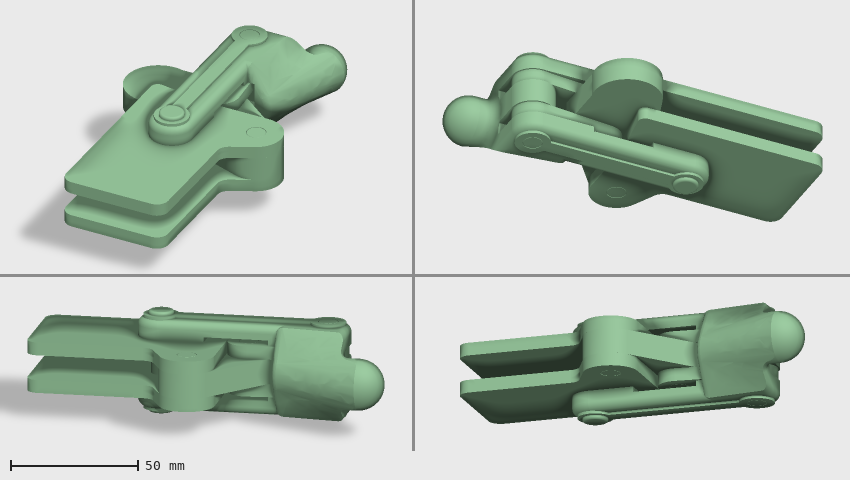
import cadquery as cq
import math


arm_half = 5.0
plate_thickness = 5.2
stack_half = arm_half + plate_thickness
handle_half = 18.0
pad_half = 19.0
head_half = 20.5

base_pivot = (0.0, 0.0)
handle_pivot = (0.0, 66.8)
arm_pivot = (29.0, 16.0)
link_pivot = (2.8, 35.6)

pin_radius = 4.0
pin_chamfer = 0.3
head_radius = 5.1
head_fillet = 1.0

base_left = -23.4
base_right = 21.6
base_bottom = -50.2
base_left_top = 31.2
base_top_slope = math.radians(9.3)
base_corner_radius = 5.0
base_top_corner_radius = 3.0
lobe_radius = 11.0
lobe_slope = math.radians(25.7)

nose_center = (-25.4, 38.0)
nose_radius = 14.0
arm_top = 51.5
arm_shoulder_x = 1.3

link_radius = 8.4

handle_radius = 9.1
handle_fillet = 3.0
pad_radius = 7.1
rib_width = 6.1
recess_half = 12.4
recess_bottom = 18.6
recess_top = 44.6
inner_wall_x = 12.0

handle_top = handle_pivot[1] + handle_radius
root_bottom = (9.4, 48.5)
root_top = (12.8, handle_top)
ball_center = (23.0, 83.6)
ball_radius = 10.2
grip_lean = 0.418
grip_bottom = 47.6
heel_radius = 3.0
flare_radius = 3.0


def tangent_point(center, radius, angle):
    """Point of a circle in the direction of the given angle."""
    return (center[0] + radius * math.cos(angle), center[1] + radius * math.sin(angle))


def layer(bottom, top):
    """Workplane at height bottom, with the height to extrude up to top."""
    return cq.Workplane("XY", origin=(0, 0, bottom)), top - bottom


def cylinder(center, radius, half):
    """Upright cylinder symmetric about Z = 0."""
    plane, height = layer(-half, half)
    return plane.center(*center).circle(radius).extrude(height)


def box(x_range, y_range, z_range):
    """Box given by its limits along the three axes."""
    plane, height = layer(*z_range)
    width = x_range[1] - x_range[0]
    length = y_range[1] - y_range[0]
    corner = plane.moveTo(x_range[0], y_range[0])
    return corner.rect(width, length, centered=False).extrude(height)


def pin_hole(shape, center):
    """Drill a pin hole through the whole shape."""
    return shape.cut(cylinder(center, pin_radius, head_half))


def fillet_corner(shape, corner, radius):
    """Round the upright edge nearest to the given corner."""
    nearest = cq.selectors.NearestToPointSelector((*corner, 0))
    return shape.edges("|Z").edges(nearest).fillet(radius)


def flush_pin(center, half):
    """Plain pin with both ends chamfered."""
    return cylinder(center, pin_radius, half).faces("|Z").edges().chamfer(pin_chamfer)


def headed_pin(center):
    """Pin with a rounded head on each outer face of the handle."""
    pin = cylinder(center, pin_radius, pad_half)
    heads = cylinder(center, head_radius, head_half).faces("|Z").edges().fillet(head_fillet)
    return pin.union(heads.cut(cylinder(center, 2 * head_radius, pad_half)))


def base_plate(bottom):
    """Mounting plate with a round lobe for the pivot of the clamp arm."""
    lobe_top = arm_pivot[1] + lobe_radius
    slope_end = base_left + (base_left_top - lobe_top) / math.tan(base_top_slope)
    lobe_end = tangent_point(arm_pivot, lobe_radius, lobe_slope - math.pi / 2)
    notch_y = lobe_end[1] - (lobe_end[0] - base_right) * math.tan(lobe_slope)
    plane, height = layer(bottom, bottom + plate_thickness)
    plate = (
        plane.moveTo(base_left, base_bottom)
        .lineTo(base_left, base_left_top)
        .lineTo(slope_end, lobe_top)
        .lineTo(arm_pivot[0], lobe_top)
        .threePointArc((arm_pivot[0] + lobe_radius, arm_pivot[1]), lobe_end)
        .lineTo(base_right, notch_y)
        .lineTo(base_right, base_bottom)
        .close()
        .extrude(height)
    )
    plate = plate.edges("|Z").edges("<Y").fillet(base_corner_radius)
    plate = fillet_corner(plate, (base_right, notch_y), base_corner_radius)
    plate = fillet_corner(plate, (base_left, base_left_top), base_top_corner_radius)
    for center in (base_pivot, arm_pivot):
        plate = pin_hole(plate, center)
    return plate


def clamp_arm():
    """Arm between the base plates, from its pivot lobe to its round nose."""
    dx = arm_pivot[0] - nose_center[0]
    dy = arm_pivot[1] - nose_center[1]
    taper = math.asin((nose_radius - lobe_radius) / math.hypot(dx, dy))
    under_angle = math.atan2(dy, dx) - math.pi / 2 + taper
    nose_start_y = arm_top - nose_center[1]
    nose_start_x = nose_center[0] + math.sqrt(nose_radius**2 - nose_start_y**2)
    shoulder_dx = arm_pivot[0] - arm_shoulder_x
    shoulder_dy = arm_pivot[1] - arm_top
    flank_turn = math.acos(lobe_radius / math.hypot(shoulder_dx, shoulder_dy))
    flank_angle = math.atan2(-shoulder_dy, -shoulder_dx) - flank_turn
    arm = (
        cq.Workplane("XY", origin=(0, 0, -arm_half))
        .moveTo(nose_start_x, arm_top)
        .lineTo(arm_shoulder_x, arm_top)
        .lineTo(*tangent_point(arm_pivot, lobe_radius, flank_angle))
        .threePointArc(
            (arm_pivot[0] + lobe_radius, arm_pivot[1]),
            tangent_point(arm_pivot, lobe_radius, under_angle),
        )
        .lineTo(*tangent_point(nose_center, nose_radius, under_angle))
        .threePointArc((nose_center[0] - nose_radius, nose_center[1]), (nose_start_x, arm_top))
        .close()
        .extrude(2 * arm_half)
    )
    for center in (arm_pivot, link_pivot):
        arm = pin_hole(arm, center)
    return arm


def link(bottom):
    """Round-ended strap from the clamp arm to the handle."""
    dx = link_pivot[0] - handle_pivot[0]
    dy = link_pivot[1] - handle_pivot[1]
    middle = (handle_pivot[0] + dx / 2, handle_pivot[1] + dy / 2)
    length = math.hypot(dx, dy) + 2 * link_radius
    plane, height = layer(bottom, bottom + plate_thickness)
    strap = plane.center(*middle).slot2D(length, 2 * link_radius, math.degrees(math.atan2(dy, dx)))
    strap = strap.extrude(height)
    for center in (handle_pivot, link_pivot):
        strap = pin_hole(strap, center)
    return strap


def handle_bar():
    """Round-ended bar with filleted outer edges and raised pads joined by a rib."""
    length = handle_pivot[1] - base_pivot[1]
    plane, height = layer(-handle_half, handle_half)
    bar = plane.center(0, length / 2).slot2D(length + 2 * handle_radius, 2 * handle_radius, 90)
    bar = bar.extrude(height).faces("|Z").edges().fillet(handle_fillet)
    rib = box((-rib_width / 2, rib_width / 2), (base_pivot[1], handle_pivot[1]), (-pad_half, pad_half))
    bar = bar.union(rib)
    for center in (base_pivot, handle_pivot):
        bar = bar.union(cylinder(center, pad_radius, pad_half))
    return bar


def grip_axis_x(y):
    """X of the slanted axis of the round back of the grip."""
    return ball_center[0] - grip_lean * (ball_center[1] - y)


def grip_section(y):
    """Level section of the grip: straight sides, tapering flanks and a round back."""
    axis_x = grip_axis_x(y)
    lean = (root_top[0] - root_bottom[0]) / (root_top[1] - root_bottom[1])
    root_x = root_bottom[0] + lean * (y - root_bottom[1])
    distance = math.hypot(axis_x - root_x, handle_half)
    turn = math.acos(ball_radius / distance)
    flank_angle = math.atan2(handle_half, root_x - axis_x) - turn
    flank_x, flank_z = tangent_point((axis_x, 0), ball_radius, flank_angle)

    def point(x, z):
        return cq.Vector(x, y, z)

    return cq.Wire.assembleEdges(
        [
            cq.Edge.makeLine(point(0, -handle_half), point(root_x, -handle_half)),
            cq.Edge.makeLine(point(root_x, -handle_half), point(flank_x, -flank_z)),
            cq.Edge.makeThreePointArc(
                point(flank_x, -flank_z),
                point(axis_x + ball_radius, 0),
                point(flank_x, flank_z),
            ),
            cq.Edge.makeLine(point(flank_x, flank_z), point(root_x, handle_half)),
            cq.Edge.makeLine(point(root_x, handle_half), point(0, handle_half)),
            cq.Edge.makeLine(point(0, handle_half), point(0, -handle_half)),
        ]
    )


def grip_envelope():
    """Full grip shape up to the middle of the ball."""
    sections = [grip_section(y) for y in (grip_bottom, ball_center[1])]
    return cq.Workplane(obj=cq.Solid.makeLoft(sections, True))


def grip_body(envelope):
    """Part of the grip alongside the handle, with a rounded heel and upper rims."""
    body = envelope.faces("<Y").edges("not <X").fillet(heel_radius)
    reach = ball_center[0] + ball_radius
    rims = box((0, reach), (grip_bottom, handle_top), (-handle_half, handle_half))
    rims = rims.faces(">Y").edges("|X").fillet(handle_fillet)
    return body.intersect(rims)


def grip_ball():
    """Half ball closing the end of the grip."""
    center_x, center_y = ball_center
    return (
        cq.Workplane("XY")
        .moveTo(center_x, center_y + ball_radius)
        .threePointArc(
            tangent_point(ball_center, ball_radius, math.pi * 3 / 4),
            (center_x - ball_radius, center_y),
        )
        .lineTo(*ball_center)
        .close()
        .revolve(360, (center_x, 0), (center_x, 1))
    )


def grip_neck(envelope):
    """Neck below the ball that flares out onto the end of the handle."""
    center_x, center_y = ball_center
    neck_left = center_x - ball_radius
    flare_center = (neck_left - flare_radius, handle_top + flare_radius)
    neck = (
        cq.Workplane("XY")
        .moveTo(center_x, center_y)
        .lineTo(neck_left, center_y)
        .lineTo(neck_left, flare_center[1])
        .threePointArc(
            tangent_point(flare_center, flare_radius, -math.pi / 4),
            (flare_center[0], handle_top),
        )
        .lineTo(center_x, handle_top)
        .close()
        .revolve(360, (center_x, 0), (center_x, 1))
    )
    return neck.intersect(envelope)


def handle():
    """Forked handle with a core between the links and a ball grip."""
    envelope = grip_envelope()
    body = handle_bar().union(grip_body(envelope))
    fork_gap = box(
        (-2 * handle_radius, inner_wall_x),
        (-2 * handle_radius, handle_top),
        (-stack_half, stack_half),
    )
    body = body.cut(fork_gap)
    core_end = box(
        (handle_pivot[0], inner_wall_x),
        (handle_pivot[1] - handle_radius, handle_top),
        (-arm_half, arm_half),
    )
    body = body.union(cylinder(handle_pivot, handle_radius, arm_half).union(core_end))
    body = body.union(grip_neck(envelope)).union(grip_ball())
    recess = box(
        (-2 * handle_radius, inner_wall_x),
        (recess_bottom, recess_top),
        (-recess_half, recess_half),
    )
    body = body.cut(recess)
    for center in (base_pivot, handle_pivot):
        body = pin_hole(body, center)
    return body


layer_bottoms = (-stack_half, arm_half)
base_plates = [base_plate(bottom).val() for bottom in layer_bottoms]
links = [link(bottom).val() for bottom in layer_bottoms]
base_pin = headed_pin(base_pivot)
handle_pin = flush_pin(handle_pivot, pad_half)
arm_pin = flush_pin(arm_pivot, stack_half)
link_pin = flush_pin(link_pivot, stack_half)

result = cq.Compound.makeCompound(
    [
        *base_plates,
        clamp_arm().val(),
        *links,
        handle().val(),
        base_pin.val(),
        handle_pin.val(),
        arm_pin.val(),
        link_pin.val(),
    ]
)